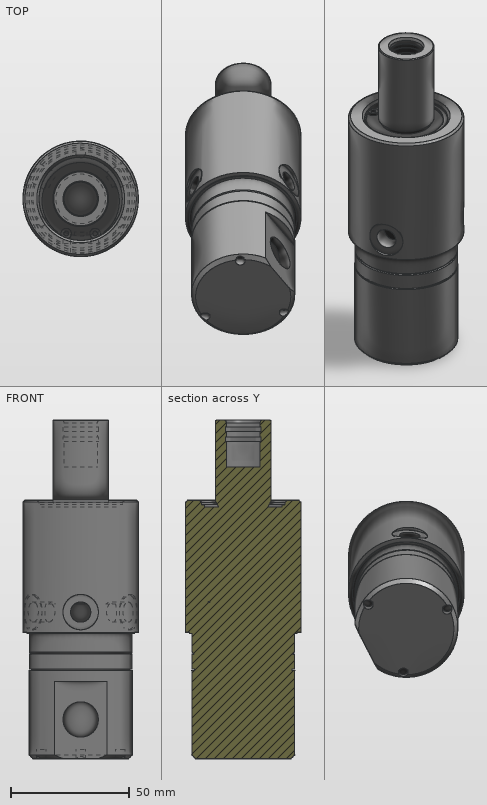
import cadquery as cq
import math

total_height = 143.7

lower_diameter = 43.76
bottom_chamfer = 1.7

bottom_hole_angles = (90.0, 210.0, 330.0)
bottom_hole_diameter = 4.0
bottom_hole_circle_radius = 19.3
bottom_hole_depth = 4.0

band_diameter = 43.6
lower_groove_bottom = 37.5
lower_groove_width = 0.5
upper_groove_bottom = 44.35
upper_groove_width = 0.9
groove_depth = 1.0

collar_diameter = 45.6
collar_height = 0.5

body_diameter = 49.0
body_bottom = 53.6
body_top = 109.7
body_chamfer = 0.9

shaft_diameter = 23.6
shaft_chamfer = 0.4
shaft_base_diameter = 21.0
shaft_base_height = 2.1

socket_diameter = 14.11
socket_mouth_diameter = 15.0
socket_mouth_depth = 1.3
socket_depth = 20.0
socket_groove_diameter = 14.95
socket_groove_width = 1.9
socket_groove_top_depths = (3.0, 7.4)

recess_diameter = 35.27
recess_mouth_diameter = 37.25
recess_depth = 2.95

ring_thickness = 1.0
ring_inner_diameter = 32.8
ring_inner_offset = 1.0
ring_gap_half_angle = 35.0
lug_diameter = 4.4
lug_hole_diameter = 2.0
lug_x = 6.1
lug_y = -14.7

core_radius = 15.7

port_angles = (30.0, 150.0, 270.0)
port_height = 62.2
port_diameter = 8.57
port_step_height = 65.6
port_step_depth = 1.5
spotface_diameter = 15.0
spotface_radius = 23.2

flat_angle = 270.0
flat_distance = 18.85
flat_top = 32.8
flat_port_height = 16.7
flat_port_diameter = 14.95


def disc(diameter, bottom, height):
    return cq.Workplane("XY").workplane(offset=bottom).circle(diameter / 2).extrude(height)


def tube(outer_diameter, inner_diameter, bottom, height):
    return disc(outer_diameter, bottom, height).cut(disc(inner_diameter, bottom, height))


def radial_cylinder(angle, height, diameter, inner_radius, outer_radius):
    """Horizontal cylinder pointing outward at an angle, between two radii."""
    direction = cq.Vector(math.cos(math.radians(angle)), math.sin(math.radians(angle)), 0)
    start = direction * inner_radius + cq.Vector(0, 0, height)
    length = outer_radius - inner_radius
    return cq.Workplane(cq.Solid.makeCylinder(diameter / 2, length, start, direction))


def cone(bottom_diameter, top_diameter, bottom, height):
    start = cq.Vector(0, 0, bottom)
    return cq.Workplane(cq.Solid.makeCone(bottom_diameter / 2, top_diameter / 2, height, start))


def make_lower_body():
    collar_bottom = body_bottom - collar_height
    lower = disc(lower_diameter, 0, lower_groove_bottom).faces("<Z").chamfer(bottom_chamfer)
    bands = disc(band_diameter, lower_groove_bottom, collar_bottom - lower_groove_bottom)
    root_diameter = band_diameter - 2 * groove_depth
    lower_groove = tube(band_diameter, root_diameter, lower_groove_bottom, lower_groove_width)
    upper_groove = disc(band_diameter, upper_groove_bottom, upper_groove_width).cut(
        cone(root_diameter, band_diameter, upper_groove_bottom, upper_groove_width)
    )
    bands = bands.cut(lower_groove).cut(upper_groove)
    collar = disc(collar_diameter, collar_bottom, collar_height)
    return lower.union(bands).union(collar)


def make_main_body():
    body = disc(body_diameter, body_bottom, body_top - body_bottom).faces(">Z").chamfer(body_chamfer)
    body = body.cut(disc(recess_diameter, body_top - recess_depth, recess_depth))
    mouth_depth = (recess_mouth_diameter - recess_diameter) / 2
    return body.cut(cone(recess_diameter, recess_mouth_diameter, body_top - mouth_depth, mouth_depth))


def make_shaft():
    floor = body_top - recess_depth
    base = cone(shaft_base_diameter, shaft_diameter, floor, shaft_base_height)
    shaft_bottom = floor + shaft_base_height
    shaft = disc(shaft_diameter, shaft_bottom, total_height - shaft_bottom)
    shaft = base.union(shaft.faces(">Z").chamfer(shaft_chamfer))
    return shaft.cut(make_socket())


def make_socket():
    socket = disc(socket_diameter, total_height - socket_depth, socket_depth)
    mouth_bottom = total_height - socket_mouth_depth
    socket = socket.union(cone(socket_diameter, socket_mouth_diameter, mouth_bottom, socket_mouth_depth))
    for top_depth in socket_groove_top_depths:
        groove_bottom = total_height - top_depth - socket_groove_width
        socket = socket.union(disc(socket_groove_diameter, groove_bottom, socket_groove_width))
    return socket


def make_retaining_ring():
    """Ring with an eccentric bore, open on the -Y side, with a drilled lug at each end."""
    floor = body_top - recess_depth
    ring = disc(recess_diameter, floor, ring_thickness)
    bore = disc(ring_inner_diameter, floor, ring_thickness).translate((0, -ring_inner_offset, 0))
    reach = body_diameter
    half_opening = reach * math.tan(math.radians(ring_gap_half_angle))
    opening = (
        cq.Workplane("XY")
        .workplane(offset=floor)
        .polyline([(0, 0), (-half_opening, -reach), (half_opening, -reach)])
        .close()
        .extrude(ring_thickness)
    )
    ring = ring.cut(bore).cut(opening)
    envelope = disc(recess_diameter, floor, ring_thickness)
    for x in (-lug_x, lug_x):
        lug = disc(lug_diameter, floor, ring_thickness).translate((x, lug_y, 0))
        ring = ring.union(lug.intersect(envelope))
    for x in (-lug_x, lug_x):
        ring = ring.cut(disc(lug_hole_diameter, floor, ring_thickness).translate((x, lug_y, 0)))
    return ring


def cut_ports(part):
    step_diameter = 2 * (core_radius - port_step_depth)
    core = disc(2 * core_radius, 0, port_step_height)
    core = core.union(disc(step_diameter, port_step_height, total_height - port_step_height))
    for angle in port_angles:
        part = part.cut(radial_cylinder(angle, port_height, spotface_diameter, spotface_radius, body_diameter))
        port = radial_cylinder(angle, port_height, port_diameter, 0, body_diameter)
        part = part.cut(port.cut(core))
    return part


def cut_bottom_holes(part):
    for angle in bottom_hole_angles:
        x = bottom_hole_circle_radius * math.cos(math.radians(angle))
        y = bottom_hole_circle_radius * math.sin(math.radians(angle))
        part = part.cut(disc(bottom_hole_diameter, 0, bottom_hole_depth).translate((x, y, 0)))
    return part


def cut_flat(part):
    flat = cq.Workplane("XY").box(
        body_diameter, body_diameter, flat_top, centered=(True, False, False)
    )
    flat = flat.translate((0, -flat_distance - body_diameter, 0))
    port = radial_cylinder(flat_angle, flat_port_height, flat_port_diameter, 0, body_diameter)
    core = disc(2 * core_radius, 0, flat_top)
    return part.cut(flat).cut(port.cut(core))


result = make_lower_body().union(make_main_body()).union(make_shaft()).union(make_retaining_ring())
result = cut_bottom_holes(cut_flat(cut_ports(result)))